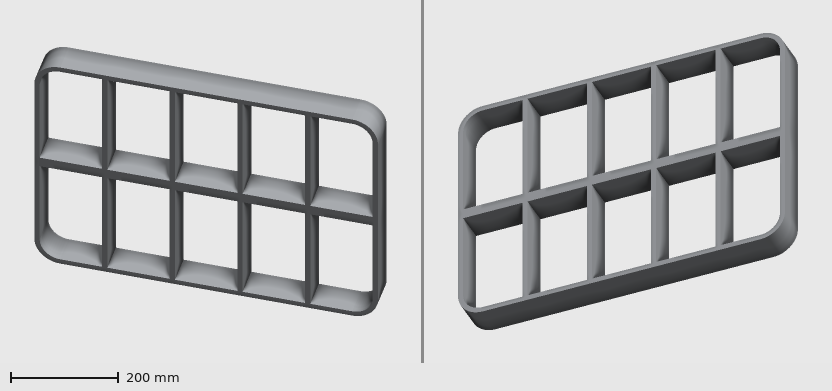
import cadquery as cq

length = 662.5
depth = 60.0
height = 476.0

middle_bar = 20.5
wall = middle_bar / 2
corner_radius = 50.0
inner_radius = corner_radius - wall

columns = 5
rows = 2
opening_width = (length - (columns + 1) * wall) / columns
opening_height = (height - 2 * wall - middle_bar) / rows
column_pitch = opening_width + wall
row_pitch = opening_height + middle_bar


def rounded_block(block_length, block_height, radius):
    """Block through the full depth with its four corners along Y rounded."""
    block = cq.Workplane("XY").box(block_length, depth, block_height)
    return block.edges("|Y").fillet(radius)


def openings():
    """Rectangular openings, trimmed to follow the rounded inside of the frame."""
    grid = (
        cq.Workplane("XZ")
        .rarray(column_pitch, row_pitch, columns, rows)
        .rect(opening_width, opening_height)
        .extrude(depth / 2, both=True)
    )
    inside = rounded_block(length - 2 * wall, height - 2 * wall, inner_radius)
    return grid.intersect(inside)


result = rounded_block(length, height, corner_radius).cut(openings())